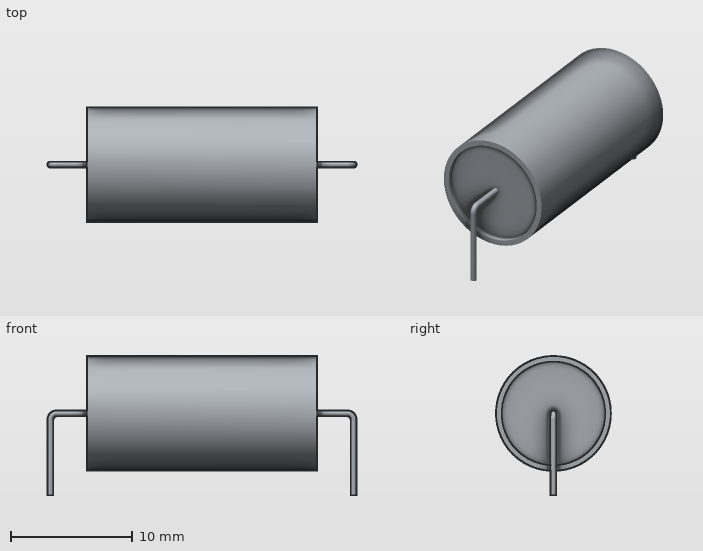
import cadquery as cq

body_length = 19.0
body_diameter = 9.5
recess_diameter = 8.55
recess_depth = 0.5

lead_diameter = 0.5
lead_pitch = 25.0
lead_bend_radius = 0.5
lead_drop = 6.75
lead_embed = 0.5

half_body = body_length / 2
half_pitch = lead_pitch / 2
recess_floor = half_body - recess_depth


def make_body():
    """Cylinder centred on the origin, recessed at both ends."""
    body = (
        cq.Workplane("YZ", origin=(-half_body, 0, 0))
        .circle(body_diameter / 2)
        .extrude(body_length)
    )
    for side in (-1, 1):
        recess = (
            cq.Workplane("YZ", origin=(side * recess_floor, 0, 0))
            .circle(recess_diameter / 2)
            .extrude(side * recess_depth)
        )
        body = body.cut(recess)
    return body


def make_lead(side):
    """Bent wire from inside the body to its tip; side is -1 or +1 along X."""
    start_x = side * (recess_floor - lead_embed)
    bend_start_x = side * (half_pitch - lead_bend_radius)
    path = (
        cq.Workplane("XZ")
        .moveTo(start_x, 0)
        .lineTo(bend_start_x, 0)
        .tangentArcPoint((side * half_pitch, -lead_bend_radius), relative=False)
        .lineTo(side * half_pitch, -lead_drop)
    )
    wire_section = cq.Workplane("YZ", origin=(start_x, 0, 0)).circle(lead_diameter / 2)
    return wire_section.sweep(path)


result = make_body()
for lead_side in (-1, 1):
    result = result.union(make_lead(lead_side))